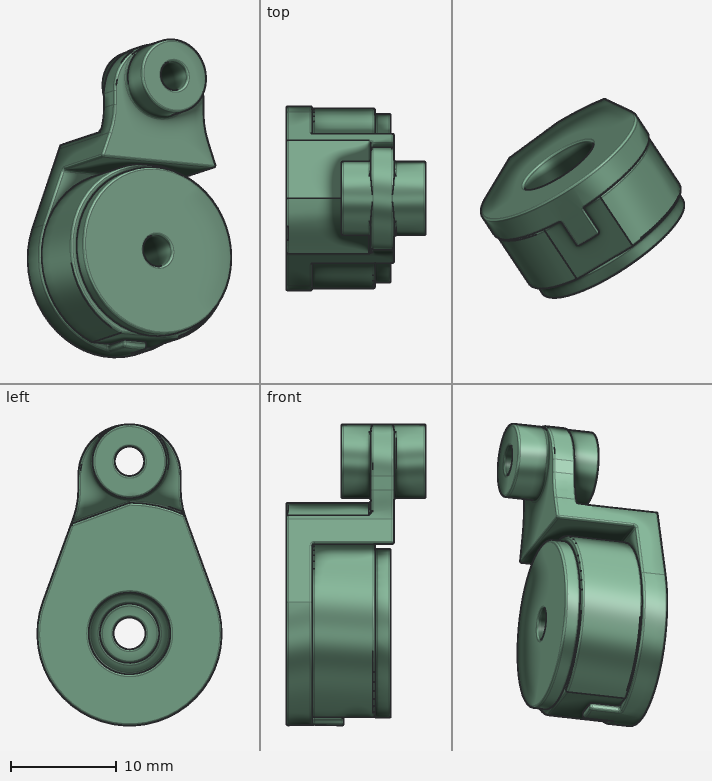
import cadquery as cq
import math

ROUND = 0.2

flange_radius = 8.725
flank_angle = math.radians(20)
arm_radius = 4.85
flank_blend_radius = 8.0

flange_thickness = 2.45
arm_start = 8.0
arm_end = 10.2

roof_radius = 12.35
underside_height = 8.45

boss_radius = 3.5
boss_start = 5.2
boss_end = 13.2
boss_hole_radius = 1.38
boss_height = 19.775 - boss_radius
arm_head_height = boss_height + boss_radius - arm_radius

tab_end = 5.45
tab_half_width = 1.25
drum_flat_depth = 7.95

hub_radius = 5.0
pocket_radius = 3.87
pocket_depth = 3.55
shaft_radius = 2.8
shaft_hole_radius = 1.5
drum_radius = 8.54
drum_end = 8.4
cap_radius = 8.0
cap_end = 9.9

BEYOND = 40.0
TOLERANCE = 1e-4


def yz(x):
    """Workplane facing +X at the given X, with local x = Y and local y = Z."""
    return cq.Workplane("YZ", origin=(x, 0, 0))


def disc(radius, x_from, x_to, z=0.0):
    """Cylinder along X."""
    return yz(x_from).center(0, z).circle(radius).extrude(x_to - x_from)


def block(x_from, x_to, y_from, y_to, z_from, z_to):
    size = (x_to - x_from, y_to - y_from, z_to - z_from)
    return cq.Workplane("XY", origin=(x_from, y_from, z_from)).box(*size, centered=False)


def housing_outline(x):
    """Pear shape: round flange, leaning flanks, concave blends and the arm with its round head."""
    sin_f = math.sin(flank_angle)
    cos_f = math.cos(flank_angle)
    flank_low = (flange_radius * cos_f, flange_radius * sin_f)
    corner_z = (flange_radius - arm_radius * cos_f) / sin_f
    blend_reach = flank_blend_radius * math.tan(flank_angle / 2)
    flank_high = (arm_radius + blend_reach * sin_f, corner_z - blend_reach * cos_f)
    side_low = (arm_radius, corner_z + blend_reach)
    half_angle = flank_angle / 2
    blend_mid = (
        arm_radius + flank_blend_radius * (1 - math.cos(half_angle)),
        side_low[1] - flank_blend_radius * math.sin(half_angle),
    )
    return (
        yz(x)
        .moveTo(*flank_low)
        .lineTo(*flank_high)
        .threePointArc(blend_mid, side_low)
        .lineTo(arm_radius, arm_head_height)
        .threePointArc((0, arm_head_height + arm_radius), (-arm_radius, arm_head_height))
        .lineTo(-side_low[0], side_low[1])
        .threePointArc((-blend_mid[0], blend_mid[1]), (-flank_high[0], flank_high[1]))
        .lineTo(-flank_low[0], flank_low[1])
        .threePointArc((0, -flange_radius), flank_low)
        .close()
    )


def above_roof():
    """Space over the bridge: the roof is curved on the -Y half and a sloping plane on the +Y half."""
    half = math.radians(45)
    arc_end = (-roof_radius * math.sin(half), roof_radius * math.cos(half))
    arc_mid = (-roof_radius * math.sin(half / 2), roof_radius * math.cos(half / 2))
    return (
        yz(0)
        .moveTo(0, roof_radius)
        .threePointArc(arc_mid, arc_end)
        .lineTo(-BEYOND, arc_end[1])
        .lineTo(-BEYOND, BEYOND)
        .lineTo(BEYOND, BEYOND)
        .lineTo(BEYOND, roof_radius - BEYOND * math.tan(flank_angle))
        .close()
        .extrude(arm_start)
    )


def below_bridge():
    """Space behind the flange and under the bridge, leaving the stop tab standing."""
    space = block(flange_thickness, BEYOND, -BEYOND, BEYOND, -BEYOND, underside_height)
    tab = block(flange_thickness, tab_end, -tab_half_width, tab_half_width, -BEYOND, -drum_flat_depth)
    return space.cut(tab)


def is_rounded(edge):
    """Edges that run along X stay sharp above the bridge underside; all other bracket edges are rounded."""
    along_x = edge.BoundingBox().xlen > ROUND
    return not along_x or edge.Center().z < underside_height + TOLERANCE


def boss_flare(x, direction):
    """Concave ring, quarter-round in section, where the boss leaves an arm face; direction is +1 or -1 in X."""
    corner = (x, boss_height + boss_radius)
    outer = (x, corner[1] + ROUND)
    tip = (x + direction * ROUND, corner[1])
    curve_center = (x + direction * ROUND, corner[1] + ROUND)
    curve_mid = (
        curve_center[0] - direction * ROUND * math.sqrt(0.5),
        curve_center[1] - ROUND * math.sqrt(0.5),
    )
    core_z = boss_height + boss_radius - ROUND
    ring = (
        cq.Workplane("XZ")
        .moveTo(x, core_z)
        .lineTo(*outer)
        .threePointArc(curve_mid, tip)
        .lineTo(tip[0], core_z)
        .close()
        .revolve(360, (0, boss_height, 0), (1, boss_height, 0))
    )
    arm_face = housing_outline(boss_start).offset2D(-ROUND).extrude(boss_end - boss_start)
    return ring.intersect(arm_face)


def make_bracket():
    """Flange, bridge, arm and stop tab, with rounded edges."""
    plain = housing_outline(0).extrude(arm_end).cut(above_roof()).cut(below_bridge())
    edges = [edge for edge in plain.edges().vals() if is_rounded(edge)]
    return plain.newObject(edges).fillet(ROUND)


def round_mouths(solid, mouths):
    """Round the circular hole edges given as (X, radius) pairs."""
    edges = []
    for edge in solid.edges("%CIRCLE").vals():
        for x, radius in mouths:
            same_place = abs(edge.Center().x - x) < TOLERANCE
            same_size = abs(edge.radius() - radius) < TOLERANCE
            if same_place and same_size:
                edges.append(edge)
    return solid.newObject(edges).fillet(ROUND)


def make_housing():
    """Bracket with the boss at its head and the hub on the pivot axis."""
    boss = disc(boss_radius, boss_start, boss_end, boss_height).faces("<X or >X").edges().fillet(ROUND)
    boss_hole = disc(boss_hole_radius, boss_start, boss_end, boss_height)
    hub = disc(hub_radius, flange_thickness - ROUND, drum_end)
    pocket = disc(pocket_radius, 0, pocket_depth).faces(">X").edges().fillet(ROUND)
    shaft_bore = disc(shaft_radius, pocket_depth, drum_end)

    housing = make_bracket().union(boss)
    housing = housing.union(boss_flare(arm_start, -1)).union(boss_flare(arm_end, 1))
    housing = housing.union(hub).cut(boss_hole).cut(pocket).cut(shaft_bore)

    mouths = [
        (0, pocket_radius),
        (pocket_depth, shaft_radius),
        (boss_start, boss_hole_radius),
        (boss_end, boss_hole_radius),
    ]
    return round_mouths(housing, mouths)


def make_drum():
    """Ring around the hub, flattened above for the bridge and below for the stop tab."""
    above_tab = block(flange_thickness, drum_end, -BEYOND, BEYOND, -drum_flat_depth, BEYOND)
    below_bridge_face = block(flange_thickness, drum_end, -BEYOND, BEYOND, -BEYOND, underside_height)
    below_bridge_face = below_bridge_face.edges("|Y and >Z").fillet(ROUND)
    drum = disc(drum_radius, flange_thickness, drum_end).intersect(above_tab)
    drum = drum.faces("<X or >X").edges().fillet(ROUND).intersect(below_bridge_face)
    return drum.cut(disc(hub_radius, flange_thickness, drum_end))


def make_cap():
    """Cover disc with its hollow shaft reaching through the hub."""
    shaft = disc(shaft_radius, pocket_depth, drum_end).faces("<X").edges().fillet(ROUND)
    cap = disc(cap_radius, drum_end, cap_end).edges().fillet(ROUND).union(shaft)
    cap = cap.cut(disc(shaft_hole_radius, pocket_depth, cap_end))
    return round_mouths(cap, [(pocket_depth, shaft_hole_radius), (cap_end, shaft_hole_radius)])


housing = make_housing().solids()
drum = make_drum().solids()
cap = make_cap().solids()
result = cq.Compound.makeCompound([housing.val(), drum.val(), cap.val()])